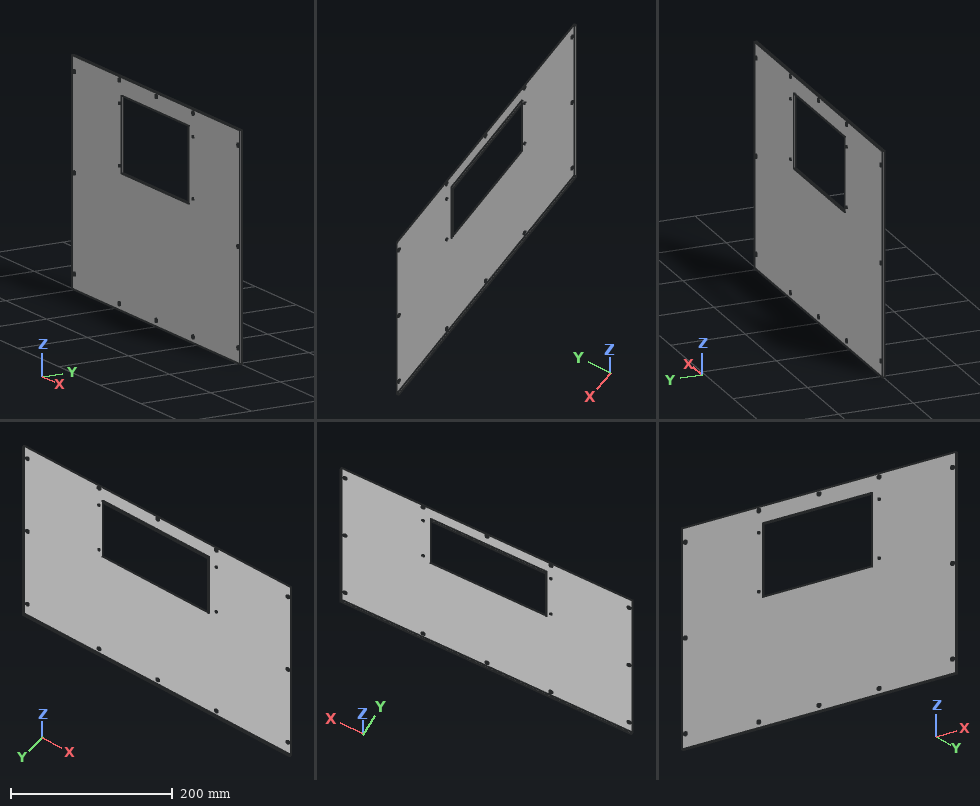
import cadquery as cq

plate_width = 410.0
plate_thickness = 3.0
plate_height = 300.0

window_width = 163.6
window_height = 99.8
window_center_z = 76.4
window_center_x = -2.5

fixing_diameter = 4.5
edge_margin = 5.0
bottom_edge_margin = 8.0
side_column_x = plate_width / 2 - edge_margin
side_pitch_z = 130.0
row_pitch_x = 90.0
top_row_z = plate_height / 2 - edge_margin
bottom_row_z = -plate_height / 2 + bottom_edge_margin

mount_diameter = 2.5
mount_spacing_x = 2 * row_pitch_x
mount_spacing_z = 80.0
mount_center_z = 75.0


def front_workplane():
    """Workplane through the middle of the plate, local axes along X and Z."""
    return cq.Workplane("XZ")


def through_holes(points, diameter):
    """Round pins along Y, longer than the plate is thick, for cutting holes."""
    return front_workplane().pushPoints(points).circle(diameter / 2).extrude(plate_thickness, both=True)


def make_plate():
    return cq.Workplane("XY").box(plate_width, plate_thickness, plate_height)


def make_window():
    return (
        front_workplane()
        .center(window_center_x, window_center_z)
        .rect(window_width, window_height)
        .extrude(plate_thickness, both=True)
    )


def make_fixing_holes():
    side_points = [
        (x, z)
        for x in (-side_column_x, side_column_x)
        for z in (-side_pitch_z, 0, side_pitch_z)
    ]
    row_points = [
        (x, z)
        for x in (-row_pitch_x, 0, row_pitch_x)
        for z in (bottom_row_z, top_row_z)
    ]
    return through_holes(side_points + row_points, fixing_diameter)


def make_mount_holes():
    points = [
        (x, mount_center_z + dz)
        for x in (-mount_spacing_x / 2, mount_spacing_x / 2)
        for dz in (-mount_spacing_z / 2, mount_spacing_z / 2)
    ]
    return through_holes(points, mount_diameter)


result = make_plate().cut(make_window()).cut(make_fixing_holes()).cut(make_mount_holes())